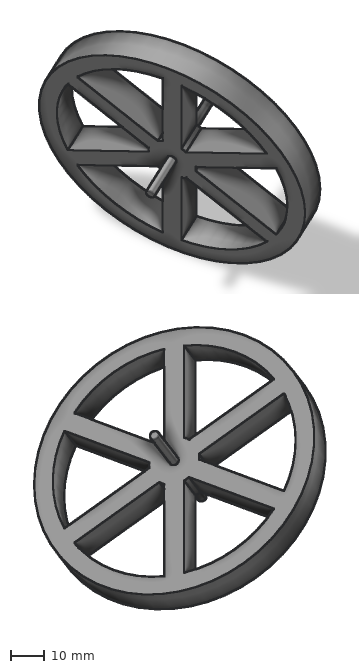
import cadquery as cq

wheel_diameter = 90.0
wheel_width = 10.2
rim_thickness = 6.0
hub_radius = 8.0
spoke_width = 6.4
spoke_count = 6

axle_diameter = 3.0
axle_front_length = 14.8
axle_back_length = 17.6
axle_end_fillet = 0.3

wheel_radius = wheel_diameter / 2
rim_inner_radius = wheel_radius - rim_thickness
axle_length = axle_front_length + wheel_width + axle_back_length


def cylinder_along_y(radius, start_y, length):
    """Cylinder on the wheel axis that runs from start_y toward +Y."""
    plane = cq.Workplane("XZ", origin=(0, start_y, 0))
    return plane.circle(radius).extrude(-length)


def make_spoke(angle):
    """Spoke from the axis outward, ending halfway into the rim."""
    length = rim_inner_radius + rim_thickness / 2
    spoke = cq.Workplane("XY").box(spoke_width, wheel_width, length, centered=(True, False, False))
    return spoke.rotate((0, 0, 0), (0, 1, 0), angle)


def make_wheel():
    """Rim, hub and spokes joined, with a through bore for the axle."""
    opening = cylinder_along_y(rim_inner_radius, 0, wheel_width)
    wheel = cylinder_along_y(wheel_radius, 0, wheel_width).cut(opening)
    wheel = wheel.union(cylinder_along_y(hub_radius, 0, wheel_width))
    for index in range(spoke_count):
        wheel = wheel.union(make_spoke(index * 360 / spoke_count))
    return wheel.cut(cylinder_along_y(axle_diameter / 2, 0, wheel_width))


def make_axle():
    """Round axle through the wheel, with rounded edges at both ends."""
    axle = cylinder_along_y(axle_diameter / 2, -axle_front_length, axle_length)
    return axle.faces("<Y or >Y").fillet(axle_end_fillet)


wheel = make_wheel()
axle = make_axle()

result = cq.Compound.makeCompound([wheel.val(), axle.val()])